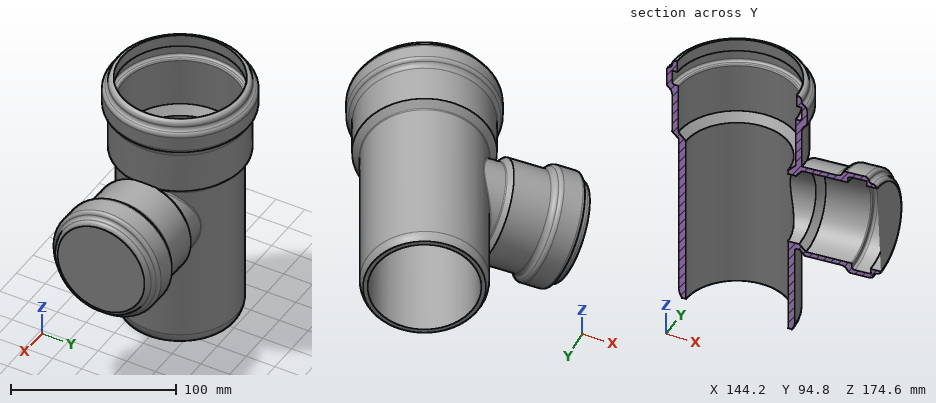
import cadquery as cq
import math

TOTAL_HEIGHT = 174.6
MAIN_PIPE_DIAMETER = 78.4
MAIN_PIPE_BORE = 68.6
SPIGOT_TIP_DIAMETER = 74.2
SPIGOT_TAPER_LENGTH = 6.8

MAIN_SOCKET = {
    "pipe_radius": MAIN_PIPE_DIAMETER / 2,
    "bore_radius": MAIN_PIPE_BORE / 2,
    "socket_radius": 87.6 / 2,
    "socket_bore_radius": 78.7 / 2,
    "bead_radius": 94.8 / 2,
    "groove_radius": 87.0 / 2,
    "lip_round": 3.3,
    "bead_start_depth": 9.0,
    "bead_end_depth": 18.6,
    "socket_start_depth": 25.4,
    "cone_start_depth": 53.1,
    "cone_end_depth": 57.4,
}

BRANCH_TILT = 2.5
BRANCH_AXIS_HEIGHT = 88.1
BRANCH_LENGTH = 95.6
BRANCH_SOCKET = {
    "pipe_radius": 58.5 / 2,
    "bore_radius": 49.6 / 2,
    "socket_radius": 66.1 / 2,
    "socket_bore_radius": 58.8 / 2,
    "bead_radius": 74.6 / 2,
    "groove_radius": 67.6 / 2,
    "lip_round": 2.8,
    "bead_start_depth": 7.7,
    "bead_end_depth": 20.2,
    "socket_start_depth": 27.0,
    "cone_start_depth": 51.2,
    "cone_end_depth": 54.7,
}

MOUTH_CLEARANCE = 0.8
GROOVE_OFFSET = 0.75
GROOVE_ROUND = 1.6
GROOVE_EDGE_ROUND = 0.8
BORE_CONE_OFFSET = 0.9

LIP_BEND_SPLIT = 0.5
SOCKET_BEND_SPLIT = 0.42

CORNER_ROUND = 1.0
SELECTION_SLACK = 0.01


def arc_along_axis(profile, lengthwise_end, other_end, end):
    """Draw an arc to `end` that runs parallel to the axis at `lengthwise_end`."""
    step = other_end[0] - lengthwise_end[0]
    rise = other_end[1] - lengthwise_end[1]
    radius = (step**2 + rise**2) / (2 * step)
    half_sweep = math.atan2(abs(step), abs(rise))
    middle = (
        lengthwise_end[0] + radius * (1 - math.cos(half_sweep)),
        lengthwise_end[1] + math.copysign(radius * math.sin(half_sweep), rise),
    )
    return profile.threePointArc(middle, end)


def s_bend(profile, start, end, split):
    """Step from one radius to another with two arcs, parallel to the axis at both ends."""
    inflection = (
        start[0] + split * (end[0] - start[0]),
        start[1] + split * (end[1] - start[1]),
    )
    profile = arc_along_axis(profile, start, inflection, inflection)
    return arc_along_axis(profile, end, inflection, end)


def pipe_shell(socket, length):
    """Outside of a pipe with a socket at Z = length, as a solid body from Z = 0."""
    lip_depth = socket["lip_round"]
    lip_start = (socket["socket_radius"], length - lip_depth)
    lip_flat = (socket["socket_radius"] - lip_depth, length)
    bead_top = (socket["bead_radius"], length - socket["bead_start_depth"])
    bead_bottom = (socket["bead_radius"], length - socket["bead_end_depth"])
    socket_top = (socket["socket_radius"], length - socket["socket_start_depth"])
    socket_bottom = (socket["socket_radius"], length - socket["cone_start_depth"])
    cone_bottom = (socket["pipe_radius"], length - socket["cone_end_depth"])

    profile = cq.Workplane("XZ").moveTo(0, length).lineTo(*lip_flat)
    profile = arc_along_axis(profile, lip_start, lip_flat, lip_start)
    profile = s_bend(profile, lip_start, bead_top, LIP_BEND_SPLIT)
    profile = profile.lineTo(*bead_bottom)
    profile = s_bend(profile, bead_bottom, socket_top, SOCKET_BEND_SPLIT)
    profile = profile.lineTo(*socket_bottom).lineTo(*cone_bottom)
    profile = profile.lineTo(socket["pipe_radius"], 0).lineTo(0, 0).close()
    return profile.revolve(360, (0, 0, 0), (0, 1, 0))


def pipe_bore(socket, length):
    """Inside of the same pipe: mouth, seal groove, socket bore and pipe bore."""
    socket_bore_radius = socket["socket_bore_radius"]
    mouth_radius = socket_bore_radius + MOUTH_CLEARANCE
    groove_radius = socket["groove_radius"]
    groove_top = length - socket["bead_start_depth"] + GROOVE_OFFSET
    groove_bottom = length - socket["bead_end_depth"] + GROOVE_OFFSET
    cone_top = length - socket["cone_start_depth"] + BORE_CONE_OFFSET
    cone_bottom = length - socket["cone_end_depth"]

    profile = cq.Workplane("XZ").moveTo(0, length).lineTo(mouth_radius, length)
    profile = profile.lineTo(mouth_radius, groove_top).lineTo(groove_radius, groove_top)
    groove_round_start = (groove_radius, groove_bottom + GROOVE_ROUND)
    groove_round_end = (groove_radius - GROOVE_ROUND, groove_bottom)
    profile = profile.lineTo(*groove_round_start)
    profile = arc_along_axis(profile, groove_round_start, groove_round_end, groove_round_end)
    edge_round_start = (socket_bore_radius + GROOVE_EDGE_ROUND, groove_bottom)
    edge_round_end = (socket_bore_radius, groove_bottom - GROOVE_EDGE_ROUND)
    profile = profile.lineTo(*edge_round_start)
    profile = arc_along_axis(profile, edge_round_end, edge_round_start, edge_round_end)
    profile = profile.lineTo(socket_bore_radius, cone_top)
    profile = profile.lineTo(socket["bore_radius"], cone_bottom)
    profile = profile.lineTo(socket["bore_radius"], 0).lineTo(0, 0).close()
    return profile.revolve(360, (0, 0, 0), (0, 1, 0))


def spigot_end():
    """Ring of material removed to leave the rounded taper at the lower end of the pipe."""
    pipe_radius = MAIN_PIPE_DIAMETER / 2
    tip = (SPIGOT_TIP_DIAMETER / 2, 0)
    taper_top = (pipe_radius, SPIGOT_TAPER_LENGTH)
    profile = cq.Workplane("XZ").moveTo(*tip)
    profile = arc_along_axis(profile, taper_top, tip, taper_top)
    profile = profile.lineTo(pipe_radius, 0).close()
    return profile.revolve(360, (0, 0, 0), (0, 1, 0))


def place_branch(body):
    """Turn a body built along Z onto the tilted branch axis."""
    turned = body.rotate((0, 0, 0), (0, 1, 0), 90 - BRANCH_TILT)
    return turned.translate((0, 0, BRANCH_AXIS_HEIGHT))


def edges_within(body, low, high):
    """Edges lying wholly inside the box between two corners, with a little slack."""
    low_corner = tuple(value - SELECTION_SLACK for value in low)
    high_corner = tuple(value + SELECTION_SLACK for value in high)
    return body.edges(cq.selectors.BoxSelector(low_corner, high_corner, boundingbox=True))


def main_neck_edges(body):
    """Corner where the main pipe meets the cone below its socket."""
    radius = MAIN_SOCKET["pipe_radius"]
    height = TOTAL_HEIGHT - MAIN_SOCKET["cone_end_depth"]
    return edges_within(body, (-radius, -radius, height), (radius, radius, height))


def branch_neck_edges(body):
    """Corner where the branch pipe meets the cone below its socket."""
    tilt = math.radians(BRANCH_TILT)
    radius = BRANCH_SOCKET["pipe_radius"]
    distance = BRANCH_LENGTH - BRANCH_SOCKET["cone_end_depth"]
    x_center = distance * math.cos(tilt)
    z_center = BRANCH_AXIS_HEIGHT + distance * math.sin(tilt)
    x_reach = radius * math.sin(tilt)
    low = (x_center - x_reach, -radius, z_center - radius)
    high = (x_center + x_reach, radius, z_center + radius)
    return edges_within(body, low, high)


def junction_edges(body):
    """Curve where the branch pipe runs into the main pipe."""
    main_radius = MAIN_SOCKET["pipe_radius"]
    branch_radius = BRANCH_SOCKET["pipe_radius"]
    nearest_x = math.sqrt(main_radius**2 - branch_radius**2)
    main_neck_height = TOTAL_HEIGHT - MAIN_SOCKET["cone_end_depth"]
    low = (nearest_x, -branch_radius, 0)
    high = (main_radius, branch_radius, main_neck_height)
    return edges_within(body, low, high)


def outside_of_tee():
    """Main pipe and branch joined, with their concave corners rounded."""
    main_body = pipe_shell(MAIN_SOCKET, TOTAL_HEIGHT).cut(spigot_end())
    main_body = main_body.rotate((0, 0, 0), (0, 0, 1), 180)
    branch_body = pipe_shell(BRANCH_SOCKET, BRANCH_LENGTH).rotate((0, 0, 0), (0, 0, 1), 180)
    body = main_body.union(place_branch(branch_body))
    body = main_neck_edges(body).add(junction_edges(body)).fillet(CORNER_ROUND)
    return branch_neck_edges(body).fillet(CORNER_ROUND)


main_bore = pipe_bore(MAIN_SOCKET, TOTAL_HEIGHT)
branch_bore = place_branch(pipe_bore(BRANCH_SOCKET, BRANCH_LENGTH))
result = outside_of_tee().cut(main_bore).cut(branch_bore)